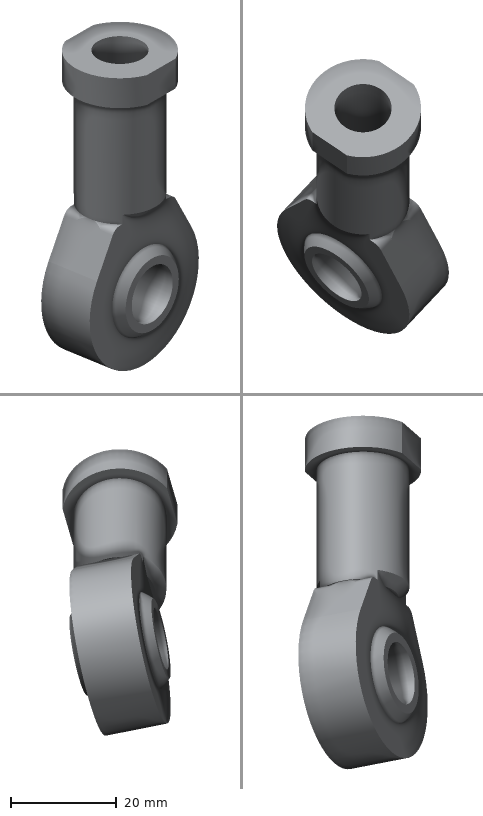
import cadquery as cq
import math

eye_radius = 16.0
eye_width = 12.0
eye_top = 17.15
side_angle = 30.0
shoulder_radius = 2.25
flare_radius = 8.6

ball_radius = 11.15
ball_width = 16.0
ball_bore_diameter = 12.0

total_height = 66.0
shank_top = total_height - eye_radius
shank_radius = 8.8
shank_chamfer = 2.05

head_diameter = 22.0
head_height = 6.5
head_across_flats = 20.3

thread_diameter = 10.8
thread_depth = 26.4
drill_tip_angle = 118.0

tilt = math.radians(side_angle)
tangent_y = eye_radius * math.cos(tilt)
tangent_z = eye_radius * math.sin(tilt)
top_half_width = (eye_radius - eye_top * math.sin(tilt)) / math.cos(tilt)


def x_cylinder(diameter, length):
    return cq.Workplane("YZ").circle(diameter / 2).extrude(length / 2, both=True)


def make_sharp_eye():
    return (
        cq.Workplane("YZ")
        .moveTo(-top_half_width, eye_top)
        .lineTo(-tangent_y, tangent_z)
        .threePointArc((0, -eye_radius), (tangent_y, tangent_z))
        .lineTo(top_half_width, eye_top)
        .close()
        .extrude(eye_width / 2, both=True)
    )


def make_eye():
    """Eye with rounded shoulders, left sharp inside a 45 degree flare below the shank."""
    sharp_eye = make_sharp_eye()
    rounded_eye = sharp_eye.edges("|X and >Z").fillet(shoulder_radius)
    flare = (
        cq.Workplane("XY", origin=(0, 0, eye_top))
        .circle(flare_radius)
        .extrude(-shoulder_radius, taper=-45)
    )
    shoulder_waste = sharp_eye.cut(rounded_eye).cut(flare)
    return sharp_eye.cut(shoulder_waste)


def make_shank():
    """Shank whose lower rim is chamfered only where it overhangs the eye faces."""
    shank = (
        cq.Workplane("XY", origin=(0, 0, eye_top))
        .circle(shank_radius)
        .extrude(shank_top - eye_top)
    )
    chamfered = shank.faces("<Z").chamfer(shank_chamfer)
    eye_slab = cq.Workplane("XY").box(eye_width, 2 * eye_radius, 2 * total_height)
    rim_waste = shank.cut(chamfered).cut(eye_slab)
    return shank.cut(rim_waste)


def make_head():
    head = (
        cq.Workplane("XY", origin=(0, 0, shank_top - head_height))
        .circle(head_diameter / 2)
        .extrude(head_height)
    )
    flats = cq.Workplane("XY").box(head_across_flats, head_diameter, 2 * total_height)
    return head.intersect(flats)


def make_ball():
    """Ball with flat ends, revolved about the eye axis."""
    half_width = ball_width / 2
    end_radius = math.sqrt(ball_radius**2 - half_width**2)
    return (
        cq.Workplane("XY")
        .moveTo(-half_width, 0)
        .lineTo(-half_width, end_radius)
        .threePointArc((0, ball_radius), (half_width, end_radius))
        .lineTo(half_width, 0)
        .close()
        .revolve(360, (0, 0, 0), (1, 0, 0))
    )


def make_thread_hole():
    """Blind hole from the shank top, ending in a drill-point cone."""
    radius = thread_diameter / 2
    floor = shank_top - thread_depth
    tip = floor - radius / math.tan(math.radians(drill_tip_angle / 2))
    return (
        cq.Workplane("XZ")
        .moveTo(0, shank_top)
        .lineTo(radius, shank_top)
        .lineTo(radius, floor)
        .lineTo(0, tip)
        .close()
        .revolve(360, (0, 0, 0), (0, 1, 0))
    )


result = make_eye().union(make_shank()).union(make_head()).union(make_ball())
result = result.cut(x_cylinder(ball_bore_diameter, ball_width)).cut(make_thread_hole())